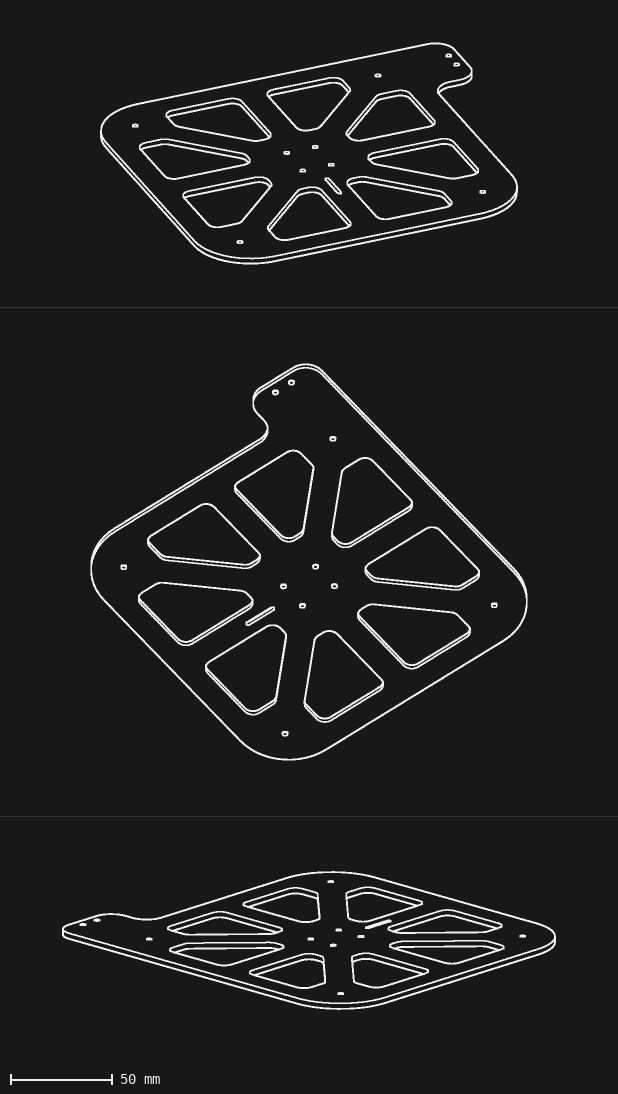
import cadquery as cq
import math

total_length = 195
side = 170.0
half_side = side / 2
thickness = 3.0
corner_radius = 30.0
tab_width = 40.0
tab_height = total_length - side
tab_radius = 10.0

rim_width = 12.9
spoke_width = 14.0
window_inner_end = 27.0
window_corner = 47.0
window_radius = 5.0
quarter_turns = 4

hole_diameter = 2.5
corner_hole_offset = 65.0
hub_hole_x = 10.0
hub_hole_y = 7.6
tab_hole_count = 2
tab_hole_spacing = 10.0
tab_hole_from_left = 15.0
tab_hole_from_top = 5.0

slot_length = 17.0
slot_width = 2.0
slot_center_x = 30.2


def rounded_plate():
    """The square with its tab; the tab's inside corner is rounded as well."""
    square = cq.Workplane("XY").rect(side, side).extrude(thickness)
    square = square.edges("|Z").edges(">X or <Y").fillet(corner_radius)

    tab_length = half_side + tab_height
    tab = cq.Workplane("XY").rect(tab_width, tab_length, centered=False).extrude(thickness)
    tab = tab.translate((-half_side, 0, 0))
    tab = tab.edges("|Z and >Y").fillet(tab_radius)

    inside_corner = cq.selectors.NearestToPointSelector(
        (tab_width - half_side, half_side, thickness / 2)
    )
    return square.union(tab).edges("|Z").edges(inside_corner).fillet(tab_radius)


def windows():
    """Two windows mirrored in the X axis, repeated every quarter turn."""
    near_side = spoke_width / 2
    outer_end = half_side - rim_width
    diagonal_offset = spoke_width / 2 * math.sqrt(2)
    outline = [
        (window_inner_end, near_side),
        (outer_end, near_side),
        (outer_end, window_corner),
        (window_corner + diagonal_offset, window_corner),
        (window_inner_end, window_inner_end - diagonal_offset),
    ]
    window = cq.Workplane("XY").polyline(outline).close().extrude(thickness)
    window = window.edges("|Z").fillet(window_radius)
    pair = window.union(window.mirror("XZ"))

    openings = pair
    for turn in range(1, quarter_turns):
        openings = openings.union(pair.rotate((0, 0, 0), (0, 0, 1), turn * 360 / quarter_turns))
    return openings


def holes():
    """Four holes near the plate's corners, four in the hub and a row in the tab."""
    centers = []
    for x_sign in (-1, 1):
        for y_sign in (-1, 1):
            centers.append((x_sign * corner_hole_offset, y_sign * corner_hole_offset))
            centers.append((x_sign * hub_hole_x, y_sign * hub_hole_y))
    tab_hole_y = half_side + tab_height - tab_hole_from_top
    for index in range(tab_hole_count):
        tab_hole_x = -half_side + tab_hole_from_left + index * tab_hole_spacing
        centers.append((tab_hole_x, tab_hole_y))
    return cq.Workplane("XY").pushPoints(centers).circle(hole_diameter / 2).extrude(thickness)


def spoke_slot():
    slot = cq.Workplane("XY").center(slot_center_x, 0).slot2D(slot_length, slot_width)
    return slot.extrude(thickness)


result = rounded_plate().cut(windows()).cut(holes()).cut(spoke_slot())